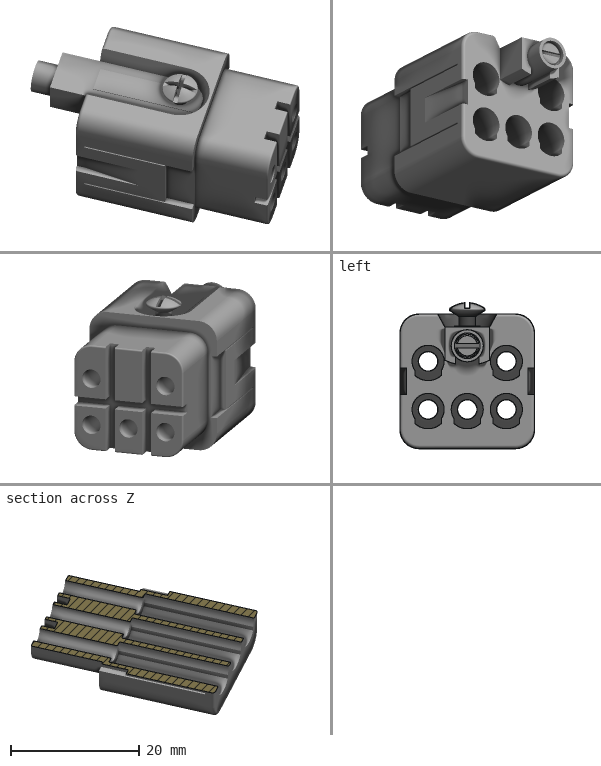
import cadquery as cq


BLOCK_LENGTH = 19.0
BLOCK_SIDE = 21.0
PLUG_END = 30.8
PLUG_WIDTH = 18.0
PLUG_TOP = 8.5
PLUG_BOTTOM = -8.5
CORNER_RADIUS = 3.0
BLOCK_EDGE_FILLET = 0.5
PLUG_EDGE_FILLET = 0.25

NOTCH_DEPTH = 2.1
NOTCH_WIDTH = 1.5
SIDE_NOTCH_Z = -0.75
TOP_NOTCH_Y = 3.0

CONTACT_PITCH_Y = 6.1
UPPER_ROW_Z = 3.12
LOWER_ROW_Z = -4.38
CONTACT_RADIUS = 1.5
CAVITY_RADIUS = 2.5
CAVITY_DEPTH = 18.0
LOBE_RADIUS = 3.0
LOBE_WIDTH = 4.1

LATCH_HALF_HEIGHT = 5.0
LATCH_START = 1.5
LATCH_END = 14.6
LATCH_SLIT = 0.25
LATCH_DEPTH = 1.0
RAMP_END = 10.5
RAMP_HEIGHT = 4.1

BAR_START = -6.08
BAR_WIDTH = 7.0
BAR_TOP = PLUG_TOP
BAR_EDGE_Z = 3.3
BAR_LOWEST_Z = 2.5
BAR_GAP = 3.6
STRIP_START = 0.5
STRIP_WIDTH = 4.0
STRIP_HEIGHT = 0.1
GROOVE_TOP_WIDTH = 9.2
GROOVE_END_X = 14.0

TUBE_START = -9.5
TUBE_Z = 5.55
TUBE_RADIUS = 2.5
TUBE_BORE_RADIUS = 2.0
CLAMP_HEAD_RADIUS = 1.8
CLAMP_HEAD_SETBACK = 0.45
CLAMP_HEAD_CHAMFER = 0.22
CLAMP_SLOT_WIDTH = 0.63
CLAMP_SLOT_DEPTH = 0.5

SCREW_APEX_Z = 12.29
SCREW_RIM_RADIUS = 2.68
SCREW_RIM_BULGE = 0.1
SCREW_RIM_TOP_Z = 11.4
SCREW_RIM_BOTTOM_Z = 11.0
SCREW_NECK_Z = 10.1
SCREW_SHANK_RADIUS = 1.3
DOME_MID_RADIUS = SCREW_RIM_RADIUS / 2
DRIVE_WIDTH = 0.75
DRIVE_CENTRE_Z = 10.4
DRIVE_CENTRE_HALF = 0.5
X_SLOT_RIM_Z = 11.45
Y_SLOT_RIM_Z = 11.15
Y_SLOT_BEND = 1.7

HALF_SIDE = BLOCK_SIDE / 2


def box(x0, x1, y0, y1, z0, z1):
    """Axis-aligned box between opposite corners."""
    return cq.Workplane("XY").box(x1 - x0, y1 - y0, z1 - z0, centered=False).translate((x0, y0, z0))


def rod(radius, x0, x1, y, z):
    """Cylinder along X."""
    return cq.Workplane("YZ", origin=(x0, y, z)).circle(radius).extrude(x1 - x0)


def make_body():
    """Block and plug with rounded corners and rounded outer end edges."""
    block = box(0, BLOCK_LENGTH, -HALF_SIDE, HALF_SIDE, -HALF_SIDE, HALF_SIDE)
    block = block.edges("|X").fillet(CORNER_RADIUS).faces("<X").edges().fillet(BLOCK_EDGE_FILLET)
    plug = box(0, PLUG_END, -PLUG_WIDTH / 2, PLUG_WIDTH / 2, PLUG_BOTTOM, PLUG_TOP)
    plug = plug.edges("|X").fillet(CORNER_RADIUS).faces(">X").edges().fillet(PLUG_EDGE_FILLET)
    plug = plug.intersect(box(BLOCK_LENGTH / 2, PLUG_END, -HALF_SIDE, HALF_SIDE, -HALF_SIDE, HALF_SIDE))
    return block.union(plug)


def cut_plug_notches(body):
    """Grooves across the plug end: one through both sides, two through top and bottom."""
    start = PLUG_END - NOTCH_DEPTH
    half = NOTCH_WIDTH / 2
    body = body.cut(box(start, PLUG_END, -HALF_SIDE, HALF_SIDE, SIDE_NOTCH_Z - half, SIDE_NOTCH_Z + half))
    for y in (-TOP_NOTCH_Y, TOP_NOTCH_Y):
        body = body.cut(box(start, PLUG_END, y - half, y + half, -HALF_SIDE, HALF_SIDE))
    return body


def make_cavity(y, z):
    """Through hole with a wider entry that bulges downwards."""
    lobe_limits = box(0, CAVITY_DEPTH, y - LOBE_WIDTH / 2, y + LOBE_WIDTH / 2, z - LOBE_RADIUS, z)
    lobe = rod(LOBE_RADIUS, 0, CAVITY_DEPTH, y, z).intersect(lobe_limits)
    entry = rod(CAVITY_RADIUS, 0, CAVITY_DEPTH, y, z).union(lobe)
    return rod(CONTACT_RADIUS, 0, PLUG_END, y, z).union(entry)


def make_latch_cut():
    """Recess around the latch tongue on the -Y side, with the ramp pocket in the tongue."""
    floor_y = LATCH_DEPTH - HALF_SIDE
    tongue_half = LATCH_HALF_HEIGHT - LATCH_SLIT
    recess = box(LATCH_START, BLOCK_LENGTH, -HALF_SIDE, floor_y, -LATCH_HALF_HEIGHT, LATCH_HALF_HEIGHT)
    recess = recess.cut(box(LATCH_START, LATCH_END, -HALF_SIDE, floor_y, -tongue_half, tongue_half))
    ramp = (
        cq.Workplane("XY", origin=(0, 0, -RAMP_HEIGHT / 2))
        .polyline([(0, -HALF_SIDE), (RAMP_END, -HALF_SIDE), (LATCH_START, floor_y), (0, floor_y)])
        .close()
        .extrude(RAMP_HEIGHT)
    )
    return recess.union(ramp)


def cut_latches(body):
    """The same latch on both sides."""
    latch_cut = make_latch_cut()
    return body.cut(latch_cut).cut(latch_cut.mirror("XZ"))


def cut_groove(body):
    """Flared groove above the bar, open at X = 0 and closed by a conical end."""
    depth = HALF_SIDE - BAR_TOP
    bottom_half = BAR_WIDTH / 2
    top_half = GROOVE_TOP_WIDTH / 2
    channel = (
        cq.Workplane("YZ")
        .polyline(
            [(-bottom_half, BAR_TOP), (bottom_half, BAR_TOP), (top_half, HALF_SIDE), (-top_half, HALF_SIDE)]
        )
        .close()
        .extrude(GROOVE_END_X)
    )
    cone = cq.Workplane(
        cq.Solid.makeCone(
            bottom_half, top_half, depth, pnt=cq.Vector(GROOVE_END_X, 0, BAR_TOP), dir=cq.Vector(0, 0, 1)
        )
    )
    return body.cut(channel).cut(cone)


def make_bar():
    """Terminal bar: arched underside split into two legs, and a raised strip along its top."""
    half = BAR_WIDTH / 2
    bar = (
        cq.Workplane("YZ", origin=(BAR_START, 0, 0))
        .moveTo(-half, BAR_TOP)
        .lineTo(-half, BAR_EDGE_Z)
        .threePointArc((0, BAR_LOWEST_Z), (half, BAR_EDGE_Z))
        .lineTo(half, BAR_TOP)
        .close()
        .extrude(-BAR_START)
    )
    bar = bar.cut(box(BAR_START, 0, -BAR_GAP / 2, BAR_GAP / 2, BAR_LOWEST_Z, TUBE_Z))
    strip = box(
        STRIP_START, GROOVE_END_X + half, -STRIP_WIDTH / 2, STRIP_WIDTH / 2, BAR_TOP, BAR_TOP + STRIP_HEIGHT
    )
    return bar, strip


def make_tube():
    """Terminal tube with the slotted clamping screw set back in its bore."""
    head_x = TUBE_START + CLAMP_HEAD_SETBACK
    floor_x = head_x + CLAMP_SLOT_DEPTH
    slot_half = CLAMP_SLOT_WIDTH / 2
    tube = rod(TUBE_RADIUS, TUBE_START, 0, 0, TUBE_Z)
    tube = tube.cut(rod(TUBE_BORE_RADIUS, TUBE_START, floor_x, 0, TUBE_Z))
    head = rod(CLAMP_HEAD_RADIUS, head_x, floor_x, 0, TUBE_Z)
    head = head.faces("<X").edges().chamfer(CLAMP_HEAD_CHAMFER)
    head = head.cut(
        box(head_x, floor_x, -TUBE_RADIUS, TUBE_RADIUS, TUBE_Z - slot_half, TUBE_Z + slot_half)
    )
    return tube.union(head)


def make_drive_slot(plane, floor_points):
    """Slot along the plane's first axis, open at the top, with a floor mirrored about the screw axis."""
    mirrored = [(-u, z) for u, z in reversed(floor_points)]
    reach = floor_points[-1][0]
    outline = mirrored + floor_points + [(reach, SCREW_APEX_Z), (-reach, SCREW_APEX_Z)]
    slot = cq.Workplane(plane).polyline(outline).close().extrude(DRIVE_WIDTH / 2, both=True)
    return slot.translate((GROOVE_END_X, 0, 0))


def make_screw():
    """Earth screw with a domed, countersunk head and a cross drive that deepens to its centre."""
    dome_height = SCREW_APEX_Z - SCREW_RIM_TOP_Z
    dome_radius = (SCREW_RIM_RADIUS**2 + dome_height**2) / (2 * dome_height)
    dome_mid_z = SCREW_APEX_Z - dome_radius + (dome_radius**2 - DOME_MID_RADIUS**2) ** 0.5
    rim_reach = SCREW_RIM_RADIUS + SCREW_RIM_BULGE
    rim_mid_z = (SCREW_RIM_TOP_Z + SCREW_RIM_BOTTOM_Z) / 2
    screw = (
        cq.Workplane("XZ")
        .moveTo(0, BAR_TOP)
        .lineTo(0, SCREW_APEX_Z)
        .threePointArc((DOME_MID_RADIUS, dome_mid_z), (SCREW_RIM_RADIUS, SCREW_RIM_TOP_Z))
        .threePointArc((rim_reach, rim_mid_z), (SCREW_RIM_RADIUS, SCREW_RIM_BOTTOM_Z))
        .lineTo(SCREW_SHANK_RADIUS, SCREW_NECK_Z)
        .lineTo(SCREW_SHANK_RADIUS, BAR_TOP)
        .close()
        .revolve(360, (0, 0, 0), (0, 1, 0))
        .translate((GROOVE_END_X, 0, 0))
    )
    centre = (DRIVE_CENTRE_HALF, DRIVE_CENTRE_Z)
    x_slot = make_drive_slot("XZ", [centre, (rim_reach, X_SLOT_RIM_Z)])
    y_slot = make_drive_slot("YZ", [centre, (Y_SLOT_BEND, Y_SLOT_RIM_Z), (rim_reach, Y_SLOT_RIM_Z)])
    return screw.cut(x_slot).cut(y_slot)


body = cut_groove(cut_latches(cut_plug_notches(make_body())))
bar, strip = make_bar()
result = body.union(bar).union(make_tube()).union(strip).union(make_screw())

cavity_centres = [(y, UPPER_ROW_Z) for y in (-CONTACT_PITCH_Y, CONTACT_PITCH_Y)]
cavity_centres += [(y, LOWER_ROW_Z) for y in (-CONTACT_PITCH_Y, 0, CONTACT_PITCH_Y)]
for cavity_y, cavity_z in cavity_centres:
    result = result.cut(make_cavity(cavity_y, cavity_z))